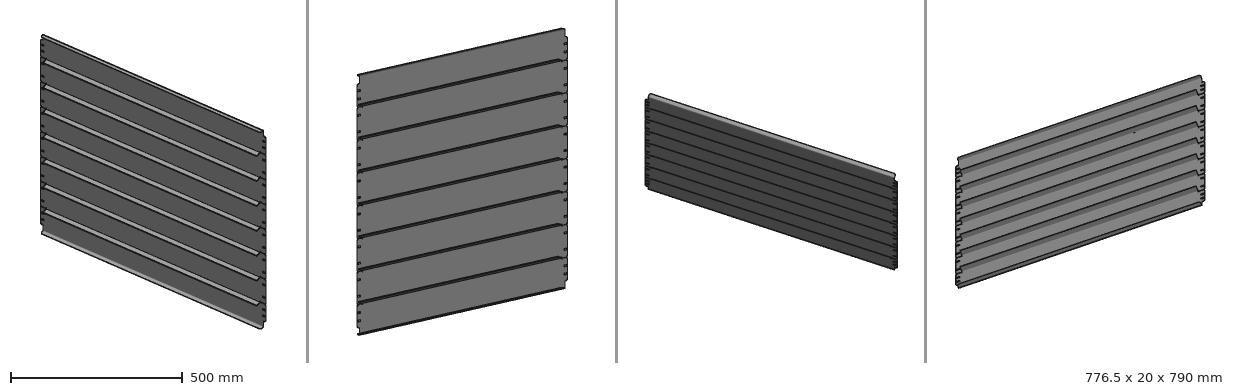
import cadquery as cq
import math

WIDTH = 776.5
HEIGHT = 790.0
DEPTH = 20.0
PANEL_COUNT = 8
END_PANEL_HEIGHT = 95.0
PITCH = (HEIGHT - 2 * END_PANEL_HEIGHT) / (PANEL_COUNT - 2)

SHEET = 1.5
BEND_INNER = 1.7
BEND_OUTER = BEND_INNER + SHEET

JOINT_INSET = 20.0
END_INSET = 9.0
END_FLANGE_DEPTH = 14.0
END_FLANGE_CHAMFER = 4.0

CORNER_RADIUS = 6.0
SHOULDER_RADIUS = 8.0
END_NOTCH_HEIGHT = 23.0

SLOT_LENGTH = 10.0
SLOT_HEIGHT = 5.0
SLOT_INSET = 7.0
SLOT_SPACING = PITCH / 4

BACK = DEPTH / 2
FIRST_JOINT = -HEIGHT / 2 + END_PANEL_HEIGHT
JOINTS = [FIRST_JOINT + i * PITCH for i in range(PANEL_COUNT - 1)]


def sheet_box(width, bottom, top):
    """Flat sheet of the given width between two heights."""
    return (
        cq.Workplane("XY")
        .box(width, SHEET, top - bottom, centered=(True, False, False))
        .translate((0, BACK - SHEET, bottom))
    )


def bent_flange(width, edge, inward, depth, chamfer=0):
    """Flange turned forward at height `edge`; `inward` (+1 or -1) points into its panel."""
    tangent = edge + inward * BEND_OUTER
    inner_face = edge + inward * SHEET
    diagonal = math.cos(math.pi / 4)
    bend_y = BACK - BEND_OUTER

    def arc_middle(radius):
        return (bend_y + radius * diagonal, tangent - inward * radius * diagonal)

    flange = (
        cq.Workplane("YZ")
        .moveTo(BACK, tangent)
        .threePointArc(arc_middle(BEND_OUTER), (bend_y, edge))
        .lineTo(BACK - depth, edge)
        .lineTo(BACK - depth, inner_face)
        .lineTo(bend_y, inner_face)
        .threePointArc(arc_middle(BEND_INNER), (BACK - SHEET, tangent))
        .close()
        .extrude(width / 2, both=True)
    )
    if chamfer:
        flange = flange.faces("<Y").edges("|Z").chamfer(chamfer)
    return flange


def side_slots(heights):
    """Cutters for the rounded slots near both sides at the given heights."""
    slot_x = WIDTH / 2 - SLOT_INSET
    centres = [(side * slot_x, z) for side in (-1, 1) for z in heights]
    return (
        cq.Workplane("XZ", origin=(0, BACK, 0))
        .pushPoints(centres)
        .slot2D(SLOT_LENGTH, SLOT_HEIGHT)
        .extrude(SHEET)
    )


def middle_panel(bottom):
    """Panel between two joints, with a joint flange along each long edge."""
    top = bottom + PITCH
    flange_width = WIDTH - 2 * JOINT_INSET
    blank = sheet_box(WIDTH, bottom, top).edges("|Y").fillet(CORNER_RADIUS)
    bend_strips = (
        sheet_box(flange_width, bottom, bottom + BEND_OUTER)
        .union(sheet_box(flange_width, top - BEND_OUTER, top))
    )
    panel = (
        blank.cut(bend_strips)
        .union(bent_flange(flange_width, bottom, 1, DEPTH))
        .union(bent_flange(flange_width, top, -1, DEPTH))
    )
    return panel.cut(side_slots([bottom + SLOT_SPACING, top - SLOT_SPACING]))


def end_panel(joint, outward):
    """Top (outward = +1) or bottom (-1) panel, with a shallower flange on its outer edge."""
    edge = outward * HEIGHT / 2
    shoulder = edge - outward * END_NOTCH_HEIGHT
    tangent = edge - outward * BEND_OUTER
    joint_tangent = joint + outward * BEND_OUTER
    joint_width = WIDTH - 2 * JOINT_INSET
    end_width = WIDTH - 2 * END_INSET
    shoulder_side = ">Z" if outward > 0 else "<Z"
    joint_side = "<Z" if outward > 0 else ">Z"
    blank = (
        sheet_box(WIDTH, *sorted((joint, shoulder)))
        .faces(shoulder_side).edges("|Y").fillet(SHOULDER_RADIUS)
        .faces(joint_side).edges("|Y").fillet(CORNER_RADIUS)
    )
    panel = (
        blank.cut(sheet_box(joint_width, *sorted((joint, joint_tangent))))
        .union(sheet_box(end_width, *sorted((shoulder, tangent))))
        .union(bent_flange(joint_width, joint, outward, DEPTH))
        .union(bent_flange(end_width, edge, -outward, END_FLANGE_DEPTH, END_FLANGE_CHAMFER))
    )
    slots = side_slots([joint + outward * n * SLOT_SPACING for n in (1, 2)])
    return panel.cut(slots)


bottom_panel = end_panel(JOINTS[0], -1)
middle_panels = [middle_panel(joint) for joint in JOINTS[:-1]]
top_panel = end_panel(JOINTS[-1], 1)

result = cq.Compound.makeCompound(
    [bottom_panel.val(), *[panel.val() for panel in middle_panels], top_panel.val()]
)